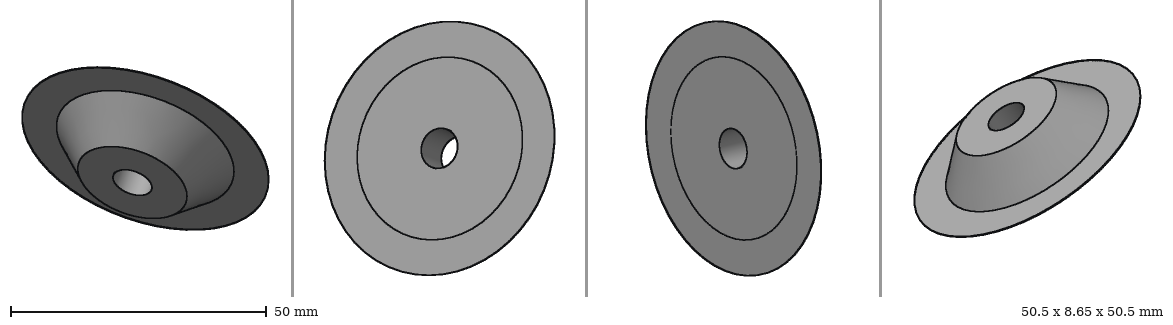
import cadquery as cq

flange_diameter = 50.5
total_depth = 8.65

flange_thickness = 0.2
hub_base_diameter = 36.35
hub_face_diameter = 22.35
bore_diameter = 8.0

bore_radius = bore_diameter / 2
flange_radius = flange_diameter / 2
half_section = [
    (bore_radius, 0),
    (flange_radius, 0),
    (flange_radius, -flange_thickness),
    (hub_base_diameter / 2, -flange_thickness),
    (hub_face_diameter / 2, -total_depth),
    (bore_radius, -total_depth),
]

result = cq.Workplane("XY").polyline(half_section).close().revolve(360, (0, 0, 0), (0, 1, 0))